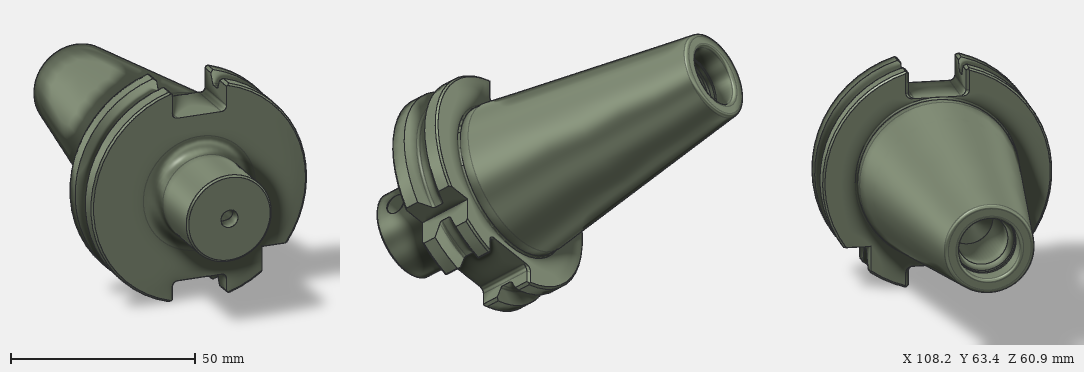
import cadquery as cq
import math

total_length = 108.2
gauge_line = 68.2
flange_front = 71.4
flange_back = 87.2

taper_diameter = 44.5
taper_slope = 7 / 48
taper_end_round = 1.0
face_fillet = 0.5

flange_diameter = 63.4
flange_chamfer = 0.5
groove_center = 79.2
groove_width = 7.1
groove_diameter = 56.1
groove_half_angle = 28.0
groove_fillet = 0.9

nose_diameter = 25.0
nose_fillet = 4.0
nose_chamfer = 0.5

clearance = 1.1

slot_width = 15.9
top_slot_floor = 22.7
bottom_slot_floor = 24.6
slot_fillet = 1.5
slot_flare_width = 0.9
slot_flare_depth = 0.6
slot_mouth_fillet = 1.7

notch_y = 18.4
notch_z = 18.3

counterbore_diameter = 17.0
counterbore_mouth_round = 0.9
relief_diameter = 17.4
relief_start = 6.5
relief_ramp = 0.6
relief_length = 1.2
bore_diameter = 14.0
bore_depth = 30.3
drill_point_angle = 118.0
through_diameter = 5.0

screw_x = 101.4
screw_diameter = 6.0

flange_radius = flange_diameter / 2
flange_width = flange_back - flange_front
nose_radius = nose_diameter / 2
taper_radius = taper_diameter / 2
small_end_radius = taper_radius - gauge_line * taper_slope


def revolve_about_x(profile):
    return profile.close().revolve(360, (0, 0, 0), (1, 0, 0))


def body_blank():
    """Taper, flange and nose turned as one solid bar."""
    face_reach = face_fillet * math.sqrt(0.5)
    nose_reach = nose_fillet * math.sqrt(0.5)
    profile = (
        cq.Workplane("XY")
        .lineTo(0, small_end_radius)
        .lineTo(gauge_line, taper_radius)
        .lineTo(flange_front - face_fillet, taper_radius)
        .threePointArc(
            (flange_front - face_fillet + face_reach, taper_radius + face_fillet - face_reach),
            (flange_front, taper_radius + face_fillet),
        )
        .lineTo(flange_front, flange_radius - flange_chamfer)
        .lineTo(flange_front + flange_chamfer, flange_radius)
        .lineTo(flange_back - flange_chamfer, flange_radius)
        .lineTo(flange_back, flange_radius - flange_chamfer)
        .lineTo(flange_back, nose_radius + nose_fillet)
        .threePointArc(
            (flange_back + nose_fillet - nose_reach, nose_radius + nose_fillet - nose_reach),
            (flange_back + nose_fillet, nose_radius),
        )
        .lineTo(total_length - nose_chamfer, nose_radius)
        .lineTo(total_length, nose_radius - nose_chamfer)
        .lineTo(total_length, 0)
    )
    blank = revolve_about_x(profile)
    return blank.faces("<X").edges().fillet(taper_end_round)


def gripper_groove():
    floor_radius = groove_diameter / 2
    half_top = groove_width / 2
    half_floor = half_top - (flange_radius - floor_radius) * math.tan(math.radians(groove_half_angle))
    outer_radius = flange_radius + clearance
    profile = (
        cq.Workplane("XY")
        .moveTo(groove_center - half_floor, floor_radius)
        .lineTo(groove_center + half_floor, floor_radius)
        .lineTo(groove_center + half_top, flange_radius)
        .lineTo(groove_center + half_top, outer_radius)
        .lineTo(groove_center - half_top, outer_radius)
        .lineTo(groove_center - half_top, flange_radius)
    )
    ring = revolve_about_x(profile)
    return ring.edges(cq.selectors.RadiusNthSelector(0)).fillet(groove_fillet)


def slot_outline(x, half_width, floor, fillet):
    """U-shaped slot outline in the plane at x, open towards +Z."""
    top = flange_radius + clearance
    bend = fillet * (1 - math.sqrt(0.5))
    return (
        cq.Workplane("YZ", origin=(x, 0, 0))
        .moveTo(-half_width, top)
        .lineTo(-half_width, floor + fillet)
        .threePointArc((-half_width + bend, floor + bend), (-half_width + fillet, floor))
        .lineTo(half_width - fillet, floor)
        .threePointArc((half_width - bend, floor + bend), (half_width, floor + fillet))
        .lineTo(half_width, top)
        .close()
    )


def drive_slot(floor):
    """Slot through the top of the flange, flared at the front face and at the rim."""
    half_width = slot_width / 2
    half_mouth = half_width + slot_flare_width
    slot = slot_outline(flange_front, half_width, floor, slot_fillet).extrude(flange_width)

    front_wire = slot_outline(flange_front, half_mouth, floor, slot_mouth_fillet).val()
    inner_wire = slot_outline(flange_front + slot_flare_depth, half_width, floor, slot_fillet).val()
    front_flare = cq.Solid.makeLoft([front_wire, inner_wire], True)

    rim_z = math.sqrt(flange_radius**2 - half_mouth**2)
    rim_flare = (
        cq.Workplane("YZ", origin=(flange_front, 0, 0))
        .moveTo(-half_width, rim_z - slot_flare_depth)
        .lineTo(half_width, rim_z - slot_flare_depth)
        .lineTo(half_mouth, rim_z)
        .lineTo(half_mouth, flange_radius)
        .lineTo(-half_mouth, flange_radius)
        .lineTo(-half_mouth, rim_z)
        .close()
        .extrude(flange_width)
    )
    return slot.union(cq.Workplane(front_flare)).union(rim_flare)


def orientation_notch():
    """Square corner cut through the full flange width, on the +Y and -Z side."""
    block = cq.Workplane("XY").box(flange_width, flange_radius, flange_radius, centered=False)
    return block.translate((flange_front, notch_y, -notch_z - flange_radius))


def cone_length(large_diameter, small_diameter):
    """Axial length of a drill-point cone between two diameters."""
    return (large_diameter - small_diameter) / 2 / math.tan(math.radians(drill_point_angle / 2))


def stepped_bore():
    counterbore_radius = counterbore_diameter / 2
    mouth_radius = counterbore_radius + counterbore_mouth_round
    round_reach = counterbore_mouth_round * math.sqrt(0.5)
    relief_flat_start = relief_start + relief_ramp
    relief_flat_end = relief_flat_start + relief_length
    relief_end = relief_flat_end + relief_ramp
    profile = (
        cq.Workplane("XY")
        .lineTo(0, mouth_radius)
        .threePointArc(
            (counterbore_mouth_round - round_reach, mouth_radius - round_reach),
            (counterbore_mouth_round, counterbore_radius),
        )
        .lineTo(relief_start, counterbore_radius)
        .lineTo(relief_flat_start, relief_diameter / 2)
        .lineTo(relief_flat_end, relief_diameter / 2)
        .lineTo(relief_end, counterbore_radius)
        .lineTo(relief_end + cone_length(counterbore_diameter, bore_diameter), bore_diameter / 2)
        .lineTo(bore_depth, bore_diameter / 2)
        .lineTo(bore_depth + cone_length(bore_diameter, through_diameter), through_diameter / 2)
        .lineTo(total_length, through_diameter / 2)
        .lineTo(total_length, 0)
    )
    return revolve_about_x(profile)


def radial_cylinder(length):
    return cq.Workplane("XZ", origin=(screw_x, 0, 0)).circle(screw_diameter / 2).extrude(-length)


def make_holder():
    top_slot = drive_slot(top_slot_floor)
    bottom_slot = drive_slot(bottom_slot_floor).mirror("XY")
    return (
        body_blank()
        .cut(gripper_groove())
        .cut(top_slot)
        .cut(bottom_slot)
        .cut(orientation_notch())
        .cut(stepped_bore())
        .cut(radial_cylinder(nose_radius))
    )


def make_set_screw():
    """Flat-ended screw filling the radial hole from the bore to just below the nose surface."""
    flush_height = math.sqrt(nose_radius**2 - (screw_diameter / 2) ** 2)
    return radial_cylinder(flush_height).cut(stepped_bore())


holder = make_holder()
set_screw = make_set_screw()

result = cq.Compound.makeCompound([holder.val(), set_screw.val()])